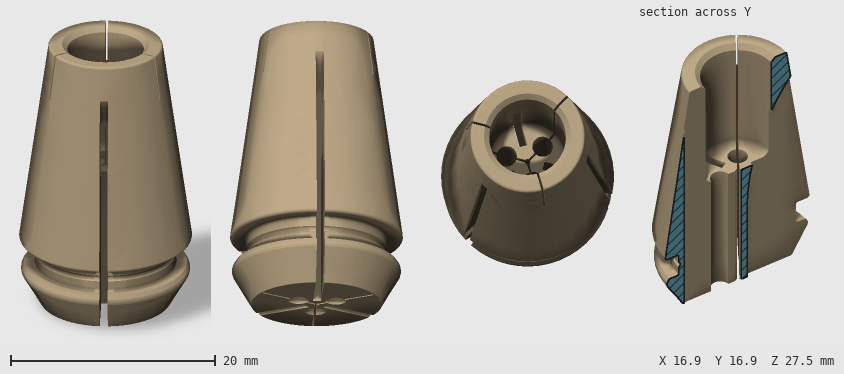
import cadquery as cq
import math

total_length = 27.5
cone_base_z = 6.67
flange_top_z = 4.07
flange_cone_top_z = 3.15
bore_floor_z = 14.5

nose_radius = 6.4
nose_half_angle = 30.0
neck_radius = 6.92
cone_base_radius = 8.5
cone_half_angle = 8.0
flange_radius = 8.27
flange_top_radius = 7.98
flange_bevel_z = 3.7

cone_top_round = 0.25
cone_base_round = 0.3
neck_corner_round = 0.18
nose_edge_round = 0.1
edge_search_margin = 0.05

groove_z = 5.4
groove_width = 0.6
groove_depth = 0.2

bore_radius = 3.75
bore_chamfer = 0.5
bore_floor_round = 0.8

segment_count = 3
hole_radius = 1.0
hole_circle_radius = 2.1
center_hole_radius = 0.28
slit_width = 0.22
slit_reach = 6.22

slot_width = 0.8
slot_inner_radius = 1.03
slot_arc_start_z = 9.15
slot_top_z = 24.3
saw_radius = 24.8
slot_overrun = 1.0

segment_angle = 360 / segment_count


def make_body():
    """Turned collet: nose cone, flange, grooved neck and long clamping cone."""
    cone_top_radius = cone_base_radius - (total_length - cone_base_z) * math.tan(math.radians(cone_half_angle))
    flange_cone_radius = nose_radius + flange_cone_top_z * math.tan(math.radians(nose_half_angle))
    profile = (
        cq.Workplane("XZ")
        .lineTo(nose_radius, 0)
        .lineTo(flange_cone_radius, flange_cone_top_z)
        .threePointArc(
            (flange_radius, (flange_cone_top_z + flange_bevel_z) / 2),
            (flange_cone_radius, flange_bevel_z),
        )
        .lineTo(flange_top_radius, flange_top_z)
        .lineTo(neck_radius, flange_top_z)
        .lineTo(neck_radius, groove_z - groove_width / 2)
        .threePointArc(
            (neck_radius - groove_depth, groove_z),
            (neck_radius, groove_z + groove_width / 2),
        )
        .lineTo(neck_radius, cone_base_z)
        .lineTo(cone_base_radius, cone_base_z)
        .lineTo(cone_top_radius, total_length)
        .lineTo(0, total_length)
        .close()
    )
    body = profile.revolve(360, (0, 0, 0), (0, 1, 0))
    body = body.faces(">Z").edges().fillet(cone_top_round)
    body = round_circle(body, cone_base_radius, cone_base_z, cone_base_round)
    body = round_circle(body, neck_radius, cone_base_z, neck_corner_round)
    body = round_circle(body, neck_radius, flange_top_z, neck_corner_round)
    return body.faces("<Z").edges().fillet(nose_edge_round)


def box_about_axis(half_width, level):
    """Selector for edges wholly inside a thin square box centred on the axis."""
    return cq.selectors.BoxSelector(
        (-half_width, -half_width, level - edge_search_margin),
        (half_width, half_width, level + edge_search_margin),
        boundingbox=True,
    )


def round_circle(body, radius, level, fillet_radius):
    """Fillet the circular edge with the given radius and height."""
    up_to_edge = box_about_axis(radius + edge_search_margin, level)
    inside_edge = box_about_axis(radius - edge_search_margin, level)
    return body.edges(up_to_edge - inside_edge).fillet(fillet_radius)


def make_bore():
    """Flat-bottomed bore with a rounded floor corner and a chamfered mouth."""
    bore = (
        cq.Workplane("XY", origin=(0, 0, bore_floor_z))
        .circle(bore_radius)
        .extrude(total_length - bore_floor_z)
        .faces("<Z").edges().fillet(bore_floor_round)
    )
    mouth = cq.Solid.makeCone(
        bore_radius,
        bore_radius + bore_chamfer,
        bore_chamfer,
        pnt=cq.Vector(0, 0, total_length - bore_chamfer),
    )
    return bore.union(cq.Workplane(mouth))


def make_center_hole():
    """Small axial hole where the thin slits meet."""
    return cq.Workplane("XY").circle(center_hole_radius).extrude(total_length)


def make_slit():
    """Full-length hole and thin radial slit, lying along +X."""
    hole = cq.Workplane("XY").center(hole_circle_radius, 0).circle(hole_radius).extrude(total_length)
    slit = cq.Workplane("XY").box(slit_reach, slit_width, total_length, centered=(False, True, False))
    return hole.union(slit)


def saw_arc_point(level):
    """Point on the slot's run-out arc, tangent to the slot's upright inner end."""
    rise = level - slot_arc_start_z
    return slot_inner_radius + saw_radius - math.sqrt(saw_radius**2 - rise**2), level


def make_wide_slot():
    """Slot along +X, open at the nose and outer wall, running out on an arc at its top."""
    outer_reach = cone_base_radius + slot_overrun
    return (
        cq.Workplane("XZ")
        .moveTo(slot_inner_radius, 0)
        .lineTo(slot_inner_radius, slot_arc_start_z)
        .threePointArc(saw_arc_point((slot_arc_start_z + slot_top_z) / 2), saw_arc_point(slot_top_z))
        .lineTo(outer_reach, slot_top_z)
        .lineTo(outer_reach, 0)
        .close()
        .extrude(slot_width / 2, both=True)
    )


def turned(cutter, angle):
    """Cutter swung about the collet axis."""
    return cutter.rotate((0, 0, 0), (0, 0, 1), angle)


result = make_body().cut(make_bore())
result = result.cut(make_center_hole())
for index in range(segment_count):
    slit_angle = index * segment_angle
    result = result.cut(turned(make_slit(), slit_angle))
    result = result.cut(turned(make_wide_slot(), slit_angle + segment_angle / 2))